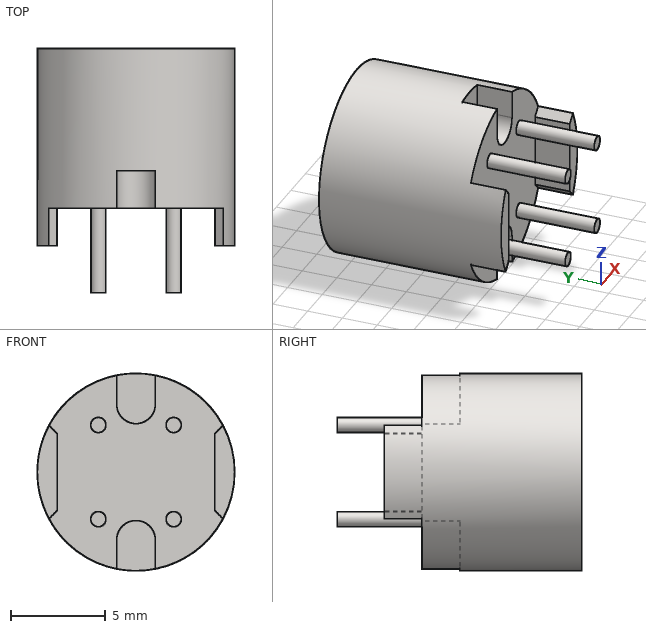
import cadquery as cq
import math

body_diameter = 10.5
total_length = 13.0
pin_length = 4.5
body_length = total_length - pin_length
body_radius = body_diameter / 2

pin_diameter = 0.8
pin_pitch_x = 4.0
pin_pitch_z = 5.0

notch_width = 2.05
notch_depth = 2.0
notch_floor = 2.57

foot_length = 2.0
foot_inner_x = 4.19
foot_rim_half_height = 2.48
foot_rim_x = math.sqrt(body_radius**2 - foot_rim_half_height**2)
foot_inner_half_height = foot_rim_half_height - (foot_rim_x - foot_inner_x)


def pin_face():
    """Sketch plane on the pin face: local x is X, local y is Z, normal is -Y."""
    return cq.Workplane("XZ")


def make_foot_clearance():
    """Material removed around the two feet, down to the pin face."""
    flare = body_radius
    outer_x = foot_inner_x + flare
    outer_z = foot_inner_half_height + flare
    return (
        pin_face()
        .polyline([
            (-foot_inner_x, -foot_inner_half_height),
            (-outer_x, -outer_z),
            (outer_x, -outer_z),
            (foot_inner_x, -foot_inner_half_height),
            (foot_inner_x, foot_inner_half_height),
            (outer_x, outer_z),
            (-outer_x, outer_z),
            (-foot_inner_x, foot_inner_half_height),
        ])
        .close()
        .extrude(foot_length)
    )


def make_notch(side):
    half_width = notch_width / 2
    arc_start_z = side * (notch_floor + half_width)
    outer_z = side * body_diameter
    return (
        pin_face()
        .moveTo(-half_width, outer_z)
        .lineTo(-half_width, arc_start_z)
        .threePointArc((0, side * notch_floor), (half_width, arc_start_z))
        .lineTo(half_width, outer_z)
        .close()
        .extrude(-notch_depth)
    )


result = (
    pin_face()
    .workplane(offset=-body_length)
    .circle(body_radius)
    .extrude(body_length + foot_length)
)
result = result.cut(make_foot_clearance())

for side in (-1, 1):
    result = result.cut(make_notch(side))

pins = (
    pin_face()
    .rarray(pin_pitch_x, pin_pitch_z, 2, 2)
    .circle(pin_diameter / 2)
    .extrude(pin_length)
)
result = result.union(pins)